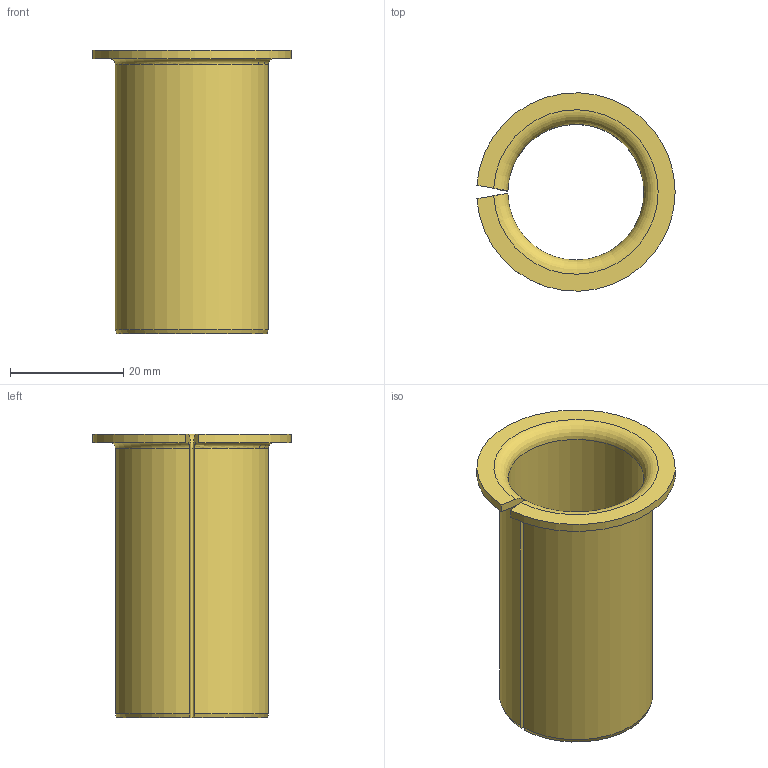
import cadquery as cq
import math

length = 50.0
bore_diameter = 24.0
wall = 1.5
flange_diameter = 35.0
bend_inner_radius = 1.0
lead_in_height = 0.7
lead_in_angle = 20.0
split_gap = 0.44
split_side_angle = 10.0

bore_radius = bore_diameter / 2
sleeve_radius = bore_radius + wall
flange_radius = flange_diameter / 2
flange_underside = length - wall
bend_outer_radius = bend_inner_radius + wall
bend_start = length - bend_outer_radius
bend_centre_radius = sleeve_radius + bend_inner_radius
lead_in_depth = lead_in_height * math.tan(math.radians(lead_in_angle))


def bend_midpoint(radius):
    """Middle of the quarter arc of this radius that joins the sleeve to the flange."""
    offset = radius * math.sqrt(0.5)
    return bend_centre_radius - offset, bend_start + offset


def flanged_sleeve():
    """Constant-wall sleeve bent outwards into a flange, revolved about Z."""
    return (
        cq.Workplane("XZ")
        .moveTo(bore_radius, 0)
        .lineTo(sleeve_radius - lead_in_depth, 0)
        .lineTo(sleeve_radius, lead_in_height)
        .lineTo(sleeve_radius, bend_start)
        .threePointArc(bend_midpoint(bend_inner_radius), (bend_centre_radius, flange_underside))
        .lineTo(flange_radius, flange_underside)
        .lineTo(flange_radius, length)
        .lineTo(bend_centre_radius, length)
        .threePointArc(bend_midpoint(bend_outer_radius), (bore_radius, bend_start))
        .close()
        .revolve(360, (0, 0), (0, 1))
        .rotate((0, 0, 0), (0, 0, 1), 180)
    )


def split_wedge():
    """Full-length wedge that widens outwards from a point inside the bore."""
    slope = math.tan(math.radians(split_side_angle))
    apex_x = -bore_radius + split_gap / 2 / slope
    outer_x = -flange_diameter
    outer_half_width = (apex_x - outer_x) * slope
    return (
        cq.Workplane("XY")
        .moveTo(apex_x, 0)
        .lineTo(outer_x, outer_half_width)
        .lineTo(outer_x, -outer_half_width)
        .close()
        .extrude(length)
    )


result = flanged_sleeve().cut(split_wedge())